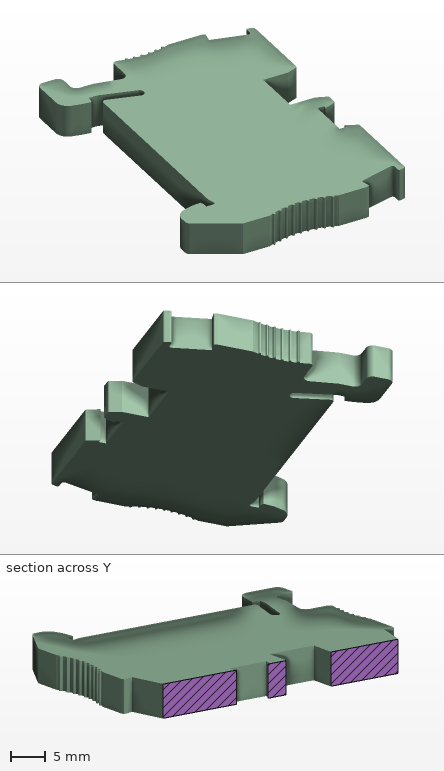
import cadquery as cq
import math


width = 48.5
height = 35.2
thickness = 5.2
half_width = width / 2

lip_reach = 22.45
lip_top_reach = 22.15
lip_tip_y = height - 0.8
lip_bottom_y = height - 1.25
lip_radius = 0.25
neck_reach = 20.85
neck_radius = 0.4
ledge_inner_reach = 22.45
ledge_inner_y = 27.8
ledge_outer_reach = 24.1
ledge_outer_y = 28.15
ledge_side_drop = 0.6
ledge_radius = 0.15

slot_left = -8.97
slot_right = -1.05
slot_floor_y = 29.2
slot_taper_y = 33.3
slot_left_top = -9.7
slot_right_top = -0.3
slot_mouth_radius = 0.3

groove_left = 1.72
groove_right = 8.28
groove_floor_y = 32.15
barb_y = 33.25
barb_left_tip = 2.22
barb_left_mid = (1.85, 34.4)
barb_left_top = 1.35
barb_left_radius = 1.5
barb_right_tip = 7.75
barb_right_top = 8.65

grip_centre_y = 17.27
left_grip_depth = 0.85
left_grip_top_y = 22.1
right_grip_depth = 1.2
right_grip_top_y = 23.0
rib_pitch = 1.225
rib_height = 0.32
rib_base = 0.5
rib_tip = 0.2
rib_root = 0.2
left_ribs = range(-2, 4)
right_ribs = range(-4, 5)

underside_y = 5.95
left_base_x = -23.95
left_base_y = 12.57
left_base_radius = 0.6
right_side_bottom_y = 7.1

leg_top_outer_x = -19.0
leg_top_radius = 1.0
leg_outer_x = -20.12
leg_outer_kink_y = 7.15
leg_inner_x = -17.0
leg_inner_kink_y = 6.2
foot_left_x = -23.92
foot_top_y = 4.0
foot_radius = 1.0
left_hook_root_y = 4.78
left_hook_tip = (-15.8, 4.55)
left_hook_side = (-16.0, 3.1)
left_hook_bottom_x = -16.7
left_hook_bottom_radius = 1.95
hook_side_radius = 4.0

relief_slope = 0.285
relief_span = 1.54
relief_end_radius = 0.74
relief_corner_radius = 0.5

right_hook_root_x = 17.53
right_hook_flat = 0.7
right_hook_root_y = 4.78
right_hook_tip = (16.2, 4.55)
right_hook_side = (16.35, 2.9)
right_hook_bottom_x = 17.25
right_hook_bottom_radius = 2.1
undercut_start_x = 16.1
undercut_top_y = 6.4
undercut_radius = 0.35
right_foot_end_x = 20.22
right_foot_end_radius = 0.8


def rounded_outline(corners):
    """Closed wire through corners (x, y, radius); a radius of 0 keeps the corner sharp."""
    runs = []
    for i, (x, y, radius) in enumerate(corners):
        corner = cq.Vector(x, y)
        if radius == 0:
            runs.append([corner])
            continue
        before = cq.Vector(*corners[i - 1][:2])
        after = cq.Vector(*corners[(i + 1) % len(corners)][:2])
        to_before = (before - corner).normalized()
        to_after = (after - corner).normalized()
        half_angle = to_before.getAngle(to_after) / 2
        setback = radius / math.tan(half_angle)
        nearest = radius / math.sin(half_angle) - radius
        bisector = (to_before + to_after).normalized()
        arc_start = corner + to_before * setback
        arc_middle = corner + bisector * nearest
        arc_end = corner + to_after * setback
        runs.append([arc_start, arc_middle, arc_end])

    path = cq.Workplane("XY").moveTo(*runs[0][-1].toTuple()[:2])
    for run in runs[1:] + runs[:1]:
        path = path.lineTo(*run[0].toTuple()[:2])
        if len(run) > 1:
            path = path.threePointArc(run[1].toTuple()[:2], run[2].toTuple()[:2])
    return path.close()


def shoulder(side):
    """Corners of one upper shoulder from the side edge up to the top; side is -1 or +1."""
    return [
        (side * half_width, ledge_outer_y - ledge_side_drop, 0),
        (side * ledge_outer_reach, ledge_outer_y, ledge_radius),
        (side * ledge_inner_reach, ledge_inner_y, 0),
        (side * neck_reach, lip_bottom_y, neck_radius),
        (side * lip_reach, lip_bottom_y, lip_radius),
        (side * lip_reach, lip_tip_y, 0),
        (side * lip_top_reach, height, lip_radius),
    ]


def top_edge():
    """Corners of the slot and the marker groove, from left to right."""
    return [
        (slot_left_top, height, slot_mouth_radius),
        (slot_left, slot_taper_y, 0),
        (slot_left, slot_floor_y, 0),
        (slot_right, slot_floor_y, 0),
        (slot_right, slot_taper_y, 0),
        (slot_right_top, height, slot_mouth_radius),
        (barb_left_top, height, 0),
        (*barb_left_mid, barb_left_radius),
        (barb_left_tip, barb_y, 0),
        (groove_left, barb_y, 0),
        (groove_left, groove_floor_y, 0),
        (groove_right, groove_floor_y, 0),
        (groove_right, barb_y, 0),
        (barb_right_tip, barb_y, 0),
        (barb_right_top, height, 0),
    ]


def right_foot():
    """Corners of the fixed foot, from the right side edge round to the underside."""
    return [
        (half_width, right_side_bottom_y, 0),
        (right_foot_end_x, 0, right_foot_end_radius),
        (right_hook_bottom_x, 0, right_hook_bottom_radius),
        (*right_hook_side, hook_side_radius),
        (*right_hook_tip, 0),
        (right_hook_root_x - right_hook_flat, right_hook_root_y, 0),
        (right_hook_root_x, right_hook_root_y, 0),
        (right_hook_root_x, undercut_top_y, undercut_radius),
        (undercut_start_x, underside_y, 0),
    ]


def left_leg():
    """Corners of the relief slot, sprung leg and foot, from the underside to the left side."""
    relief_bottom_x = leg_inner_x + relief_span + relief_slope * (underside_y - leg_inner_kink_y)
    relief_top_left_x = leg_inner_x + relief_slope * (left_base_y - leg_inner_kink_y)
    return [
        (relief_bottom_x, underside_y, relief_corner_radius),
        (relief_top_left_x + relief_span, left_base_y, relief_end_radius),
        (relief_top_left_x, left_base_y, relief_end_radius),
        (leg_inner_x, leg_inner_kink_y, 0),
        (leg_inner_x, left_hook_root_y, 0),
        (*left_hook_tip, 0),
        (*left_hook_side, hook_side_radius),
        (left_hook_bottom_x, 0, left_hook_bottom_radius),
        (foot_left_x, 0, foot_radius),
        (foot_left_x, foot_top_y, foot_radius),
        (leg_outer_x, foot_top_y, foot_radius),
        (leg_outer_x, leg_outer_kink_y, 0),
        (leg_top_outer_x, left_base_y, leg_top_radius),
        (left_base_x, left_base_y, left_base_radius),
        (-half_width, left_grip_top_y, 0),
    ]


def grip_radius(depth, top_y):
    """Radius of an arc of the given depth below a chord that ends at top_y."""
    half_chord = top_y - grip_centre_y
    return (half_chord ** 2 + depth ** 2) / (2 * depth)


def cut_grip(body, side, depth, top_y):
    """Scoop the finger grip out of one side."""
    radius = grip_radius(depth, top_y)
    centre_x = side * (half_width - depth + radius)
    return body.cut(cq.Workplane("XY").center(centre_x, grip_centre_y).circle(radius).extrude(thickness))


def add_ribs(body, side, depth, top_y, positions):
    """Raise the tapered ribs that stand on the grip arc of one side."""
    radius = grip_radius(depth, top_y)
    for position in positions:
        offset = position * rib_pitch
        y = grip_centre_y + offset
        arc_rise = radius - math.sqrt(radius ** 2 - offset ** 2)
        surface = half_width - depth + arc_rise
        root_x = side * (surface - rib_root)
        base_x = side * surface
        tip_x = side * (surface + rib_height)
        rib = cq.Workplane("XY").polyline([
            (root_x, y - rib_base / 2),
            (base_x, y - rib_base / 2),
            (tip_x, y - rib_tip / 2),
            (tip_x, y + rib_tip / 2),
            (base_x, y + rib_base / 2),
            (root_x, y + rib_base / 2),
        ]).close().extrude(thickness)
        body = body.union(rib)
    return body


outline = shoulder(-1) + top_edge() + shoulder(1)[::-1] + right_foot() + left_leg()
body = rounded_outline(outline).extrude(thickness)
body = cut_grip(body, -1, left_grip_depth, left_grip_top_y)
body = cut_grip(body, 1, right_grip_depth, right_grip_top_y)
body = add_ribs(body, -1, left_grip_depth, left_grip_top_y, left_ribs)
body = add_ribs(body, 1, right_grip_depth, right_grip_top_y, right_ribs)
result = body